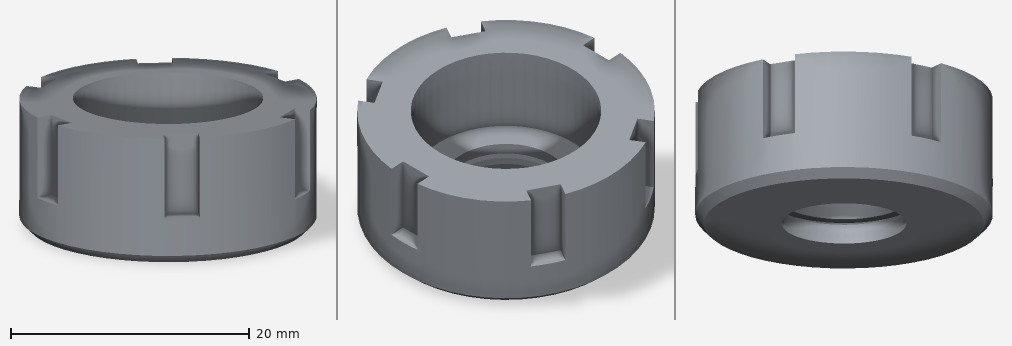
import cadquery as cq
import math

outer_diameter = 25
height = 11
bottom_chamfer = 0.75

recess_diameter = 16
recess_depth = 7.75
lip_diameter = 11
lip_thickness = 1
groove_diameter = 13
groove_width = 0.5
cone_half_angle = 30
hole_diameter = 10.5

slot_count = 6
slot_width = 3
slot_depth = 7
slot_floor_radius = 11

outer_radius = outer_diameter / 2
recess_radius = recess_diameter / 2
lip_radius = lip_diameter / 2
groove_radius = groove_diameter / 2
hole_radius = hole_diameter / 2
recess_floor = height - recess_depth
lip_bottom = recess_floor - lip_thickness
groove_floor = lip_bottom - groove_width
cone_height = (lip_radius - hole_radius) / math.tan(math.radians(cone_half_angle))


def make_ring():
    """Revolve the section of the ring, with its bore, about Z."""
    section = (
        cq.Workplane("XZ")
        .moveTo(hole_radius, 0)
        .lineTo(outer_radius - bottom_chamfer, 0)
        .lineTo(outer_radius, bottom_chamfer)
        .lineTo(outer_radius, height)
        .lineTo(recess_radius, height)
        .lineTo(recess_radius, recess_floor)
        .lineTo(lip_radius, recess_floor)
        .lineTo(lip_radius, lip_bottom)
        .lineTo(groove_radius, lip_bottom)
        .lineTo(groove_radius, groove_floor)
        .lineTo(lip_radius, groove_floor)
        .lineTo(hole_radius, groove_floor - cone_height)
        .close()
    )
    return section.revolve(360, (0, 0, 0), (0, 1, 0))


def make_slots():
    """Flat-bottomed slot cutters, open at the rim and the top face."""
    cutter_length = outer_radius
    return (
        cq.Workplane("XY", origin=(0, 0, height - slot_depth))
        .polarArray(slot_floor_radius + cutter_length / 2, 0, 360, slot_count)
        .rect(cutter_length, slot_width)
        .extrude(slot_depth)
    )


result = make_ring().cut(make_slots())